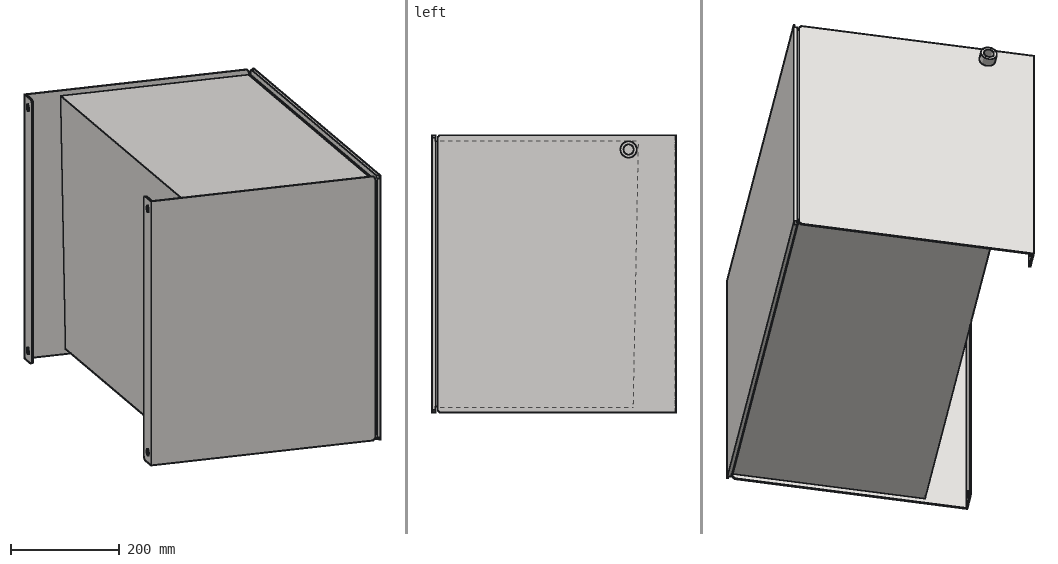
import cadquery as cq

body_width = 680.0
height = 510.0
depth = 449.0

plate_thickness = 2.8
flange_width = 40.0
flange_thickness = 3.0
flange_corner = 8.0

mounting_hole_diameter = 13.0
hole_from_side = 19.0
hole_from_end = 20.0

box_front_top = 70.0
box_front_bottom = 79.5
lip_height = 10.0

door_thickness = 7.0
door_skin = 2.0
door_corner = 5.0
groove_width = 3.5
groove_depth = 1.0
plate_corner = 4.0

bush_diameter = 30.0
bush_bore_diameter = 18.7
bush_length = 18.0
bush_y = 87.5
bush_z = 483.5

half_width = body_width / 2
door_front = depth - door_thickness
plate_rear = door_front - groove_width


def block(x_range, y_range, z_range):
    """Axis-aligned box given by its (low, high) limits along each axis."""
    limits = (x_range, y_range, z_range)
    sizes = [high - low for low, high in limits]
    corner = tuple(low for low, high in limits)
    return cq.Workplane("XY").box(*sizes, centered=False).translate(corner)


def make_box():
    """Closed box, set in from the plate ends by the lip height, its front leaning back towards the bottom."""
    box_bottom = lip_height
    box_top = height - lip_height
    side_profile = [
        (box_front_bottom, box_bottom),
        (box_front_top, box_top),
        (plate_rear, box_top),
        (plate_rear, box_bottom),
    ]
    inner_half = half_width - plate_thickness
    return cq.Workplane("YZ").polyline(side_profile).close().extrude(inner_half, both=True)


def make_groove_core():
    """Smaller block joining the box to the door, leaving the groove all round."""
    core_half = half_width - groove_depth
    core_bottom = lip_height + groove_depth
    return block((-core_half, core_half), (plate_rear, door_front), (core_bottom, height - core_bottom))


def make_door():
    """Rear panel covering the full width and height: a thin square skin on a rim with cut corners."""
    skin_front = depth - door_skin
    skin = block((-half_width, half_width), (skin_front, depth), (0, height))
    rim = block((-half_width, half_width), (door_front, skin_front), (0, height))
    return skin.union(rim.edges("|Y").chamfer(door_corner))


def make_left_plate():
    """Left side plate with its drilled mounting flange."""
    plate = block((-half_width, plate_thickness - half_width), (0, plate_rear), (0, height))
    plate = plate.edges("|X and >Y").chamfer(plate_corner)
    flange = block((-half_width, flange_width - half_width), (0, flange_thickness), (0, height))
    flange = flange.edges("|Y and >X").fillet(flange_corner)
    hole_x = hole_from_side - half_width
    for hole_z in (hole_from_end, height - hole_from_end):
        drill = cq.Workplane("XZ", origin=(hole_x, 0, hole_z)).circle(mounting_hole_diameter / 2)
        flange = flange.cut(drill.extrude(-flange_thickness))
    return plate.union(flange)


def make_bush():
    """Hollow bush standing out from the left side plate."""
    face = cq.Workplane("YZ", origin=(-half_width, bush_y, bush_z))
    return face.circle(bush_diameter / 2).circle(bush_bore_diameter / 2).extrude(-bush_length)


left_plate = make_left_plate()
right_plate = left_plate.mirror("YZ")
cabinet = make_box().union(make_groove_core()).union(make_door())
result = cabinet.union(left_plate).union(right_plate).union(make_bush()).clean()